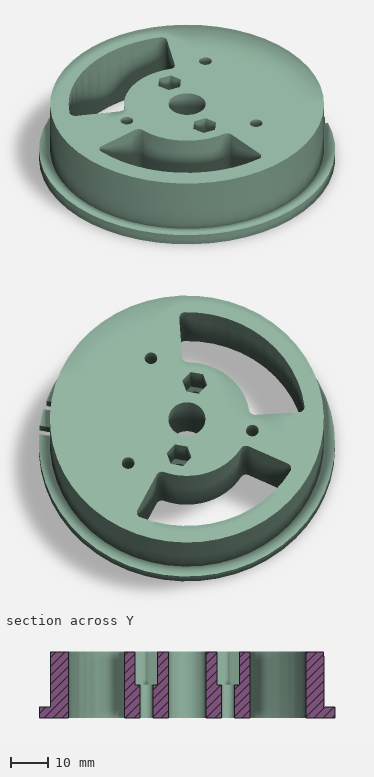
import cadquery as cq
import math

flange_diameter = 79.95
body_diameter = 74.0
total_height = 18.0
flange_height = 3.0

bore_diameter = 10.0
screw_diameter = 3.4
screw_points = [(-16.0, 13.0), (16.0, 13.0), (0.0, -18.0)]

nut_offset = 11.0
nut_across_flats = 5.9
nut_pocket_depth = total_height / 2

window_inner_radius = 17.0
window_outer_radius = 32.0
window_start_angle = -75.0
window_span = 90.0
window_corner_radius = 1.6

notch_width = 10.1
tongue_width = 5.0


def polar(radius, angle):
    """Point at a radius and an angle in degrees."""
    return (
        radius * math.cos(math.radians(angle)),
        radius * math.sin(math.radians(angle)),
    )


def stepped_disc():
    """Upper body standing on a wider flange, with the tongue left in the flange notch."""
    flange_radius = flange_diameter / 2
    flange = cq.Workplane("XY").circle(flange_radius).extrude(flange_height)
    notch = cq.Workplane("XY").rect(notch_width, flange_radius, centered=(True, False))
    flange = flange.cut(notch.extrude(flange_height).translate((0, flange_radius / 2, 0)))

    tongue = cq.Workplane("XY").rect(tongue_width, flange_radius, centered=(True, False))
    body = cq.Workplane("XY").circle(body_diameter / 2).extrude(total_height)
    return body.union(flange).union(tongue.extrude(flange_height))


def window():
    """Ring sector with rounded corners, to the right of the hub."""
    end_angle = window_start_angle + window_span
    middle_angle = window_start_angle + window_span / 2
    return (
        cq.Workplane("XY")
        .moveTo(*polar(window_inner_radius, window_start_angle))
        .lineTo(*polar(window_outer_radius, window_start_angle))
        .threePointArc(polar(window_outer_radius, middle_angle), polar(window_outer_radius, end_angle))
        .lineTo(*polar(window_inner_radius, end_angle))
        .threePointArc(
            polar(window_inner_radius, middle_angle),
            polar(window_inner_radius, window_start_angle),
        )
        .close()
        .extrude(total_height)
        .edges("|Z")
        .fillet(window_corner_radius)
    )


def nut_pockets():
    """Hexagons open at the top, with corners pointing along Y."""
    across_corners = nut_across_flats / math.cos(math.pi / 6)
    hexagon = (
        cq.Workplane("XY")
        .polygon(6, across_corners)
        .extrude(nut_pocket_depth)
        .rotate((0, 0, 0), (0, 0, 1), 30)
        .translate((0, 0, total_height - nut_pocket_depth))
    )
    left = hexagon.translate((-nut_offset, 0, 0))
    right = hexagon.translate((nut_offset, 0, 0))
    return left.union(right)


def through_holes():
    """Central bore, three screw holes and a screw hole under each nut pocket."""
    hole_points = screw_points + [(-nut_offset, 0), (nut_offset, 0)]
    bore = cq.Workplane("XY").circle(bore_diameter / 2).extrude(total_height)
    screws = cq.Workplane("XY").pushPoints(hole_points).circle(screw_diameter / 2).extrude(total_height)
    return bore.union(screws)


right_window = window()
left_window = right_window.mirror("YZ")

result = (
    stepped_disc()
    .cut(right_window)
    .cut(left_window)
    .cut(nut_pockets())
    .cut(through_holes())
)